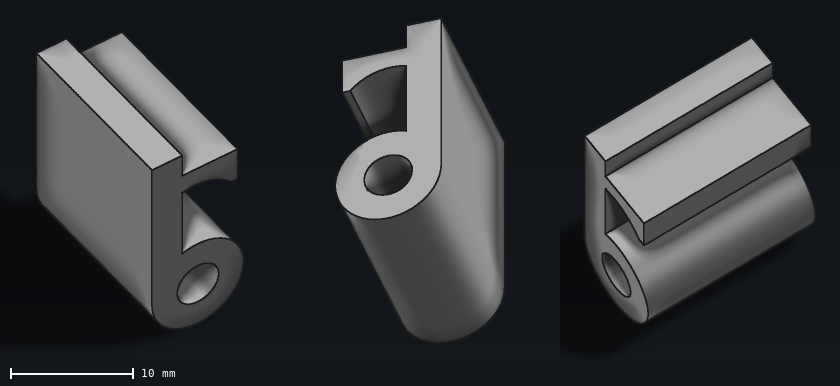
import cadquery as cq
import math

width = 16.6
height = 20.0
barrel_radius = 4.55
bore_radius = 2.05
plate_thickness = 3.0
hook_reach = 8.5
hook_drop = 2.3
hook_depth = 3.4
hook_tip_width = 0.7
relief_radius = 4.75
relief_rise = 1.6

plate_front = -barrel_radius
plate_back = plate_front + plate_thickness
plate_top = height - barrel_radius
hook_tip = plate_front + hook_reach
hook_top = plate_top - hook_drop
hook_bottom = hook_top - hook_depth
relief_start = hook_tip - hook_tip_width
relief_crown = hook_bottom + relief_rise
relief_center_z = relief_crown - relief_radius
relief_center_y = relief_start - math.sqrt(relief_radius**2 - (hook_bottom - relief_center_z) ** 2)


def make_cylinder(radius):
    """Full-width cylinder on the barrel axis."""
    return cq.Workplane("YZ").circle(radius).extrude(width / 2, both=True)


def make_plate():
    """Flat plate tangent to the front of the barrel."""
    return (
        cq.Workplane("YZ")
        .moveTo(plate_front, 0)
        .lineTo(plate_back, 0)
        .lineTo(plate_back, plate_top)
        .lineTo(plate_front, plate_top)
        .close()
        .extrude(width / 2, both=True)
    )


def relief_point(y):
    """Point on the upper half of the relief circle at the given Y."""
    return (y, relief_center_z + math.sqrt(relief_radius**2 - (y - relief_center_y) ** 2))


def make_hook():
    """Hook behind the plate, with a concave underside."""
    return (
        cq.Workplane("YZ")
        .moveTo(plate_back, hook_top)
        .lineTo(hook_tip, hook_top)
        .lineTo(hook_tip, hook_bottom)
        .lineTo(relief_start, hook_bottom)
        .threePointArc((relief_center_y, relief_crown), relief_point(plate_back))
        .close()
        .extrude(width / 2, both=True)
    )


body = make_plate().union(make_cylinder(barrel_radius)).union(make_hook())
result = body.cut(make_cylinder(bore_radius))